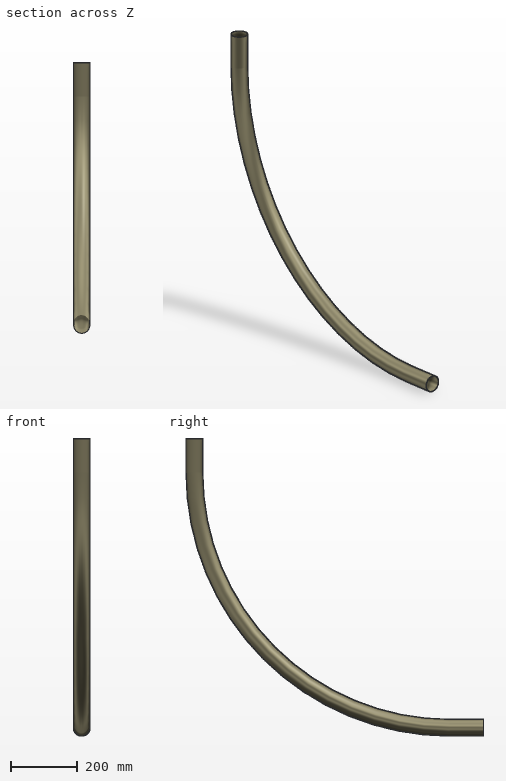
import cadquery as cq

OUTER_DIAMETER = 50.8
INNER_DIAMETER = 47.6
BEND_RADIUS = 762.0
TANGENT_LENGTH = 101.6
BEND_ANGLE = 90.0

tangent_end = BEND_RADIUS + TANGENT_LENGTH


def tube_section(plane, origin):
    """Annular cross-section of the tube, drawn on the given plane."""
    return (
        cq.Workplane(plane, origin=origin)
        .circle(OUTER_DIAMETER / 2)
        .circle(INNER_DIAMETER / 2)
    )


def horizontal_tangent():
    """Straight end running along +Y from the foot of the bend."""
    return tube_section("XZ", (0, tangent_end, 0)).extrude(TANGENT_LENGTH)


def vertical_tangent():
    """Straight end running up along +Z from the top of the bend."""
    return tube_section("XY", (0, 0, BEND_RADIUS)).extrude(TANGENT_LENGTH)


def bend():
    """Quarter-turn tube revolved about an X-parallel axis at (Y, Z) = (R, R)."""
    return tube_section("XY", (0, 0, BEND_RADIUS)).revolve(
        BEND_ANGLE, (0, BEND_RADIUS, 0), (1, BEND_RADIUS, 0)
    )


result = horizontal_tangent().union(bend()).union(vertical_tangent())